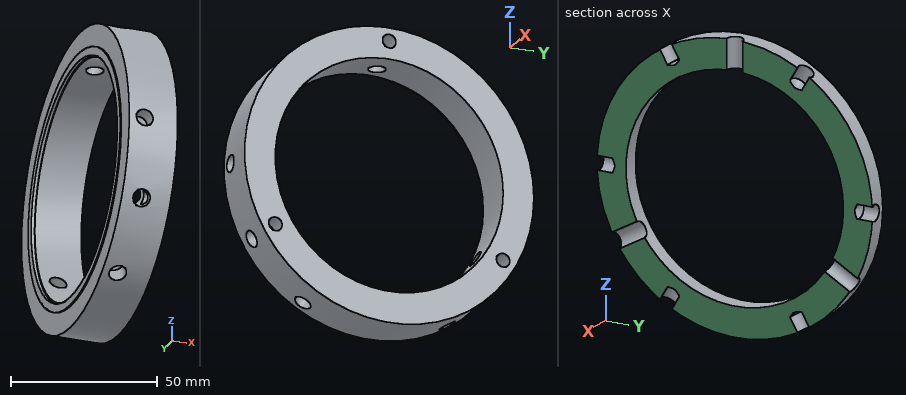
import cadquery as cq
import math

outer_diameter = 108.0
overall_width = 18.0
bore_diameter = 85.0
bore_relief_diameter = 86.0
bore_relief_depth = 1.2
collar_diameter = 92.0
collar_height = 0.4

hole_diameter = 6.0
blind_hole_x = 6.0
blind_hole_count = 6
blind_hole_depth = 6.0
drill_point_angle = 118.0
through_hole_x = 7.6
through_hole_count = 3
through_hole_start_angle = 90.0

axial_hole_diameter = 5.0
axial_hole_circle_radius = 49.0

outer_radius = outer_diameter / 2
hole_radius = hole_diameter / 2
drill_point_length = hole_radius / math.tan(math.radians(drill_point_angle / 2))


def disc(diameter, x_start, x_end):
    """Cylinder about the X axis between two X positions."""
    return cq.Workplane("YZ", origin=(x_start, 0, 0)).circle(diameter / 2).extrude(x_end - x_start)


def at_angle(cutter, angle):
    """Turn a cutter lying along +Y about the ring axis."""
    return cutter.rotate((0, 0, 0), (1, 0, 0), angle)


def blind_hole_cutter():
    """Drilled hole from the rim inward, ending in a conical point."""
    bottom_y = outer_radius - blind_hole_depth
    half_profile = (
        cq.Workplane("XY", origin=(blind_hole_x, 0, 0))
        .moveTo(0, bottom_y - drill_point_length)
        .lineTo(hole_radius, bottom_y)
        .lineTo(hole_radius, outer_radius)
        .lineTo(0, outer_radius)
        .close()
    )
    return half_profile.revolve(360, (0, 0, 0), (0, 1, 0))


def through_hole_cutter():
    """Straight hole from the ring axis out through one side of the rim."""
    return cq.Workplane("XZ", origin=(through_hole_x, 0, 0)).circle(hole_radius).extrude(-outer_radius)


def axial_hole_cutter():
    """Hole parallel to the ring axis that opens into a through hole."""
    cutter = disc(axial_hole_diameter, through_hole_x, overall_width)
    return cutter.translate((0, axial_hole_circle_radius, 0))


result = disc(outer_diameter, collar_height, overall_width)
result = result.union(disc(collar_diameter, 0, overall_width))
result = result.cut(disc(bore_diameter, 0, overall_width))
result = result.cut(disc(bore_relief_diameter, 0, bore_relief_depth))

for index in range(blind_hole_count):
    result = result.cut(at_angle(blind_hole_cutter(), index * 360 / blind_hole_count))

for index in range(through_hole_count):
    angle = through_hole_start_angle + index * 360 / through_hole_count
    result = result.cut(at_angle(through_hole_cutter(), angle))
    result = result.cut(at_angle(axial_hole_cutter(), angle))